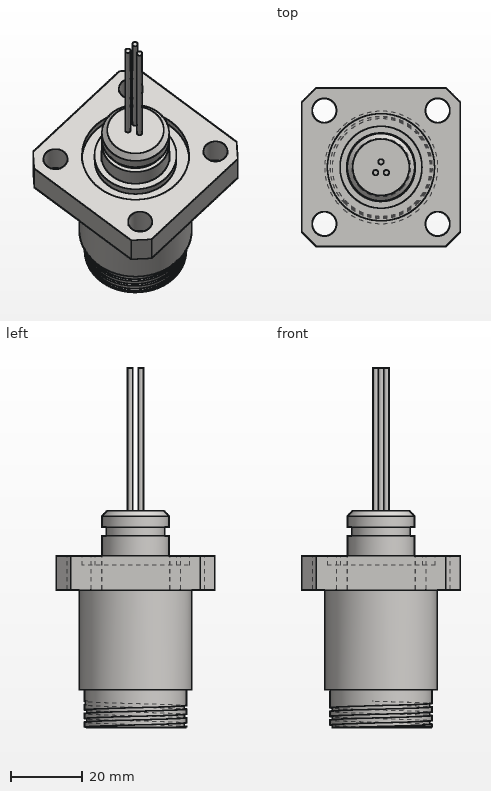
import cadquery as cq

TOTAL_HEIGHT = 100.7
NECK_TOP = 10.6
FLANGE_BOTTOM = 38.5
FLANGE_TOP = 48.0
PLUG_TOP = 60.7

FLANGE_SIDE = 44.4
FLANGE_CORNER_CHAMFER = 4.0
BARREL_DIAMETER = 31.6
NECK_DIAMETER = 28.6
NECK_CHAMFER = 0.3
MOUNTING_HOLE_DIAMETER = 6.7
MOUNTING_HOLE_SPACING = 31.7
SEAL_GROOVE_OUTER_DIAMETER = 30.0
SEAL_GROOVE_INNER_DIAMETER = 23.0
SEAL_GROOVE_DEPTH = 2.4

THREAD_PITCH = 2.4
THREAD_DEPTH = 0.6
THREAD_GROOVE_WIDTH = 1.0
THREAD_TOP = 6.9
THREAD_END_ANGLE = 100.0
THREAD_RUNOUT = 1.0

PLUG_DIAMETER = 18.8
PLUG_TOP_CHAMFER = 1.5
SOCKET_DIAMETER = 19.2
SNAP_GROOVE_DIAMETER = 16.4
SNAP_GROOVE_BOTTOM = 53.7
SNAP_GROOVE_TOP = 56.1
WIRE_DIAMETER = 1.5
WIRE_OFFSET = 1.5


def cylinder(diameter, bottom, top):
    return cq.Workplane("XY").workplane(offset=bottom).circle(diameter / 2).extrude(top - bottom)


def ring(outer_diameter, inner_diameter, bottom, top):
    profile = cq.Workplane("XY").workplane(offset=bottom)
    return profile.circle(outer_diameter / 2).circle(inner_diameter / 2).extrude(top - bottom)


def make_thread_cutter():
    """Helical bar that cuts the thread groove, starting below the bottom face."""
    start = -THREAD_RUNOUT
    length = THREAD_TOP - start
    root_radius = NECK_DIAMETER / 2 - THREAD_DEPTH
    cutter_depth = 2 * THREAD_DEPTH
    helix = cq.Wire.makeHelix(THREAD_PITCH, length, root_radius)
    cutter = (
        cq.Workplane("XZ")
        .center(root_radius + cutter_depth / 2, 0)
        .rect(cutter_depth, THREAD_GROOVE_WIDTH)
        .sweep(cq.Workplane(helix), isFrenet=True)
    )
    start_angle = THREAD_END_ANGLE - 360 * length / THREAD_PITCH
    return cutter.rotate((0, 0, 0), (0, 0, 1), start_angle).translate((0, 0, start))


def make_housing():
    neck = cylinder(NECK_DIAMETER, 0, NECK_TOP).faces("<Z").chamfer(NECK_CHAMFER)
    neck = neck.cut(make_thread_cutter())
    barrel = cylinder(BARREL_DIAMETER, NECK_TOP, FLANGE_BOTTOM)
    flange = (
        cq.Workplane("XY")
        .workplane(offset=FLANGE_BOTTOM)
        .rect(FLANGE_SIDE, FLANGE_SIDE)
        .extrude(FLANGE_TOP - FLANGE_BOTTOM)
        .edges("|Z")
        .chamfer(FLANGE_CORNER_CHAMFER)
        .faces(">Z")
        .workplane()
        .rect(MOUNTING_HOLE_SPACING, MOUNTING_HOLE_SPACING, forConstruction=True)
        .vertices()
        .hole(MOUNTING_HOLE_DIAMETER)
    )
    seal_groove = ring(
        SEAL_GROOVE_OUTER_DIAMETER,
        SEAL_GROOVE_INNER_DIAMETER,
        FLANGE_TOP - SEAL_GROOVE_DEPTH,
        FLANGE_TOP,
    )
    socket = cylinder(SOCKET_DIAMETER, FLANGE_BOTTOM, FLANGE_TOP)
    return barrel.union(neck).union(flange).cut(seal_groove).cut(socket)


def make_plug():
    plug = cylinder(PLUG_DIAMETER, FLANGE_BOTTOM, PLUG_TOP).faces(">Z").chamfer(PLUG_TOP_CHAMFER)
    plug = plug.cut(ring(PLUG_DIAMETER, SNAP_GROOVE_DIAMETER, SNAP_GROOVE_BOTTOM, SNAP_GROOVE_TOP))
    wire = cylinder(WIRE_DIAMETER, PLUG_TOP, TOTAL_HEIGHT)
    wire_places = [(0, WIRE_OFFSET), (-WIRE_OFFSET, -WIRE_OFFSET), (WIRE_OFFSET, -WIRE_OFFSET)]
    for x, y in wire_places:
        plug = plug.union(wire.translate((x, y, 0)))
    return plug


housing = make_housing().solids()
plug = make_plug().solids()

result = cq.Compound.makeCompound([housing.val(), plug.val()])